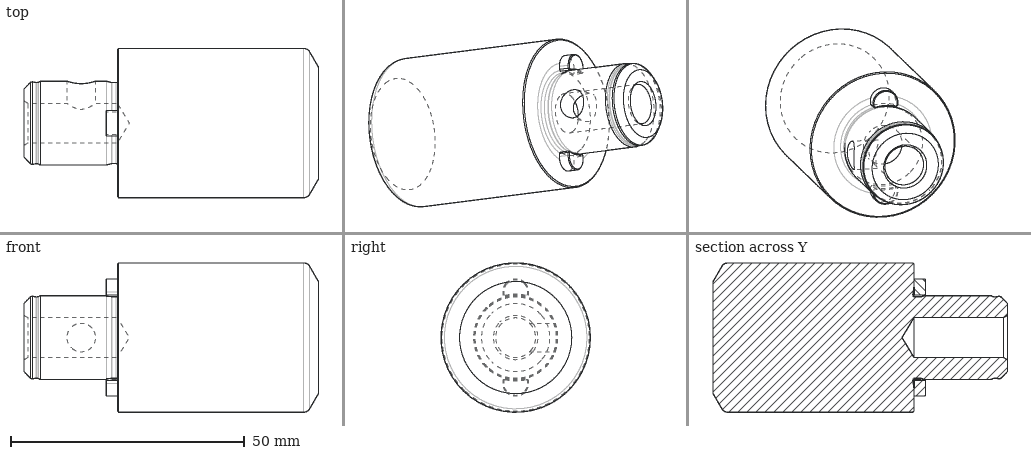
import cadquery as cq
import math

TOTAL_LENGTH = 63.0

SPIGOT_LENGTH = 20.0
SPIGOT_RADIUS = 9.0
TIP_RADIUS = 7.3
LEAD_LENGTH = 1.42
LEAD_END_DEPTH = 0.22

CROWN_X = 1.82
CROWN_DEPTH = 0.14
GROOVE_START_X = 2.6
GROOVE_END_X = 2.75
GROOVE_DEPTH = 0.29
GROOVE_KNEE_X = 3.13
GROOVE_KNEE_DEPTH = 0.2
RELIEF_END_X = 3.5

UNDERCUT_WIDTH = 2.38
UNDERCUT_DEPTH = 0.3
UNDERCUT_FACE_DEPTH = 0.22
UNDERCUT_CORNER_RADIUS = 0.5
UNDERCUT_RAMP_ANGLE = math.radians(15)
UNDERCUT_FACE_ANGLE = math.radians(8)

HEAD_RADIUS = 16.0
SHOULDER_CHAMFER = 0.25
REAR_RADIUS = 12.0
REAR_CONE_ANGLE = math.radians(60)
REAR_EDGE_RADIUS = 1.5

BORE_RADIUS = 4.25
BORE_DEPTH = 20.0
BORE_CHAMFER_WIDTH = 0.5
BORE_CHAMFER_LENGTH = 0.85
DRILL_HALF_ANGLE = math.radians(59)

CROSS_HOLE_X = 12.25
CROSS_HOLE_RADIUS = 3.05

KEY_LENGTH = 2.5
KEY_RADIUS = 2.75
KEY_TOP = 12.55
KEY_SEAT_CLEARANCE = 0.1
KEY_CORNER_BEVEL = 0.37
KEY_FRONT_CHAMFER = 0.2


def make_turned_blank():
    """Revolve the outer contour of the spigot and the large cylinder about X."""
    r = SPIGOT_RADIUS
    floor_r = r - UNDERCUT_DEPTH
    ramp_start_x = SPIGOT_LENGTH - UNDERCUT_WIDTH
    ramp_end_x = ramp_start_x + UNDERCUT_DEPTH / math.tan(UNDERCUT_RAMP_ANGLE)

    ramp_tangent = UNDERCUT_CORNER_RADIUS * math.tan(UNDERCUT_RAMP_ANGLE / 2)
    ramp_round_start = (
        ramp_end_x - ramp_tangent * math.cos(UNDERCUT_RAMP_ANGLE),
        floor_r + ramp_tangent * math.sin(UNDERCUT_RAMP_ANGLE),
    )
    ramp_round_end = (ramp_end_x + ramp_tangent, floor_r)

    corner_turn = math.pi / 2 + UNDERCUT_FACE_ANGLE
    corner_x = SPIGOT_LENGTH + UNDERCUT_FACE_DEPTH - UNDERCUT_CORNER_RADIUS
    corner_end = (
        corner_x + UNDERCUT_CORNER_RADIUS * math.sin(corner_turn),
        floor_r + UNDERCUT_CORNER_RADIUS * (1 - math.cos(corner_turn)),
    )
    recess_height = (corner_end[0] - SPIGOT_LENGTH) / math.tan(UNDERCUT_FACE_ANGLE)
    recess_rim_r = corner_end[1] + recess_height

    cone_start_x = TOTAL_LENGTH - (HEAD_RADIUS - REAR_RADIUS) / math.tan(REAR_CONE_ANGLE)
    rear_tangent = REAR_EDGE_RADIUS * math.tan(REAR_CONE_ANGLE / 2)
    rear_round_end = (
        cone_start_x + rear_tangent * math.cos(REAR_CONE_ANGLE),
        HEAD_RADIUS - rear_tangent * math.sin(REAR_CONE_ANGLE),
    )

    contour = (
        cq.Workplane("XY")
        .moveTo(0, 0)
        .lineTo(0, TIP_RADIUS)
        .lineTo(LEAD_LENGTH, r - LEAD_END_DEPTH)
        .lineTo(CROWN_X, r - CROWN_DEPTH)
        .lineTo(GROOVE_START_X, r - GROOVE_DEPTH)
        .lineTo(GROOVE_END_X, r - GROOVE_DEPTH)
        .lineTo(GROOVE_KNEE_X, r - GROOVE_KNEE_DEPTH)
        .lineTo(RELIEF_END_X, r)
        .lineTo(ramp_start_x, r)
        .lineTo(*ramp_round_start)
        .tangentArcPoint(ramp_round_end, relative=False)
        .lineTo(corner_x, floor_r)
        .tangentArcPoint(corner_end, relative=False)
        .lineTo(SPIGOT_LENGTH, recess_rim_r)
        .lineTo(SPIGOT_LENGTH, HEAD_RADIUS - SHOULDER_CHAMFER)
        .lineTo(SPIGOT_LENGTH + SHOULDER_CHAMFER, HEAD_RADIUS)
        .lineTo(cone_start_x - rear_tangent, HEAD_RADIUS)
        .tangentArcPoint(rear_round_end, relative=False)
        .lineTo(TOTAL_LENGTH, REAR_RADIUS)
        .lineTo(TOTAL_LENGTH, 0)
        .close()
    )
    return contour.revolve(360, (0, 0, 0), (1, 0, 0))


def make_bore():
    """Axial drilled hole with a chamfered mouth and a conical drill end."""
    drill_tip_x = BORE_DEPTH + BORE_RADIUS / math.tan(DRILL_HALF_ANGLE)
    return (
        cq.Workplane("XY")
        .moveTo(0, 0)
        .lineTo(0, BORE_RADIUS + BORE_CHAMFER_WIDTH)
        .lineTo(BORE_CHAMFER_LENGTH, BORE_RADIUS)
        .lineTo(BORE_DEPTH, BORE_RADIUS)
        .lineTo(drill_tip_x, 0)
        .close()
        .revolve(360, (0, 0, 0), (1, 0, 0))
    )


def make_cross_hole():
    """Radial cylinder from the axis out through the +Y side of the spigot."""
    return (
        cq.Workplane("XZ", origin=(CROSS_HOLE_X, 0, 0))
        .circle(CROSS_HOLE_RADIUS)
        .extrude(-HEAD_RADIUS)
    )


def make_key(turn):
    """Round-topped key against the shoulder, hollowed below to clear the spigot, turned about X."""
    round_center_z = KEY_TOP - KEY_RADIUS
    seat_half_width = KEY_RADIUS - KEY_CORNER_BEVEL
    seat_radius = SPIGOT_RADIUS + KEY_SEAT_CLEARANCE
    seat_edge_z = math.sqrt(seat_radius**2 - seat_half_width**2)
    bevel_top_z = seat_edge_z + KEY_CORNER_BEVEL
    key = (
        cq.Workplane("YZ", origin=(SPIGOT_LENGTH - KEY_LENGTH, 0, 0))
        .moveTo(-seat_half_width, seat_edge_z)
        .threePointArc((0, seat_radius), (seat_half_width, seat_edge_z))
        .lineTo(KEY_RADIUS, bevel_top_z)
        .lineTo(KEY_RADIUS, round_center_z)
        .threePointArc((0, KEY_TOP), (-KEY_RADIUS, round_center_z))
        .lineTo(-KEY_RADIUS, bevel_top_z)
        .close()
        .extrude(KEY_LENGTH)
        .faces("<X")
        .chamfer(KEY_FRONT_CHAMFER)
    )
    return key.rotate((0, 0, 0), (1, 0, 0), turn)


keys = [make_key(turn) for turn in (0, 180)]

bolt = make_turned_blank().cut(make_bore()).cut(make_cross_hole())

result = cq.Compound.makeCompound([bolt.val(), *[key.val() for key in keys]])